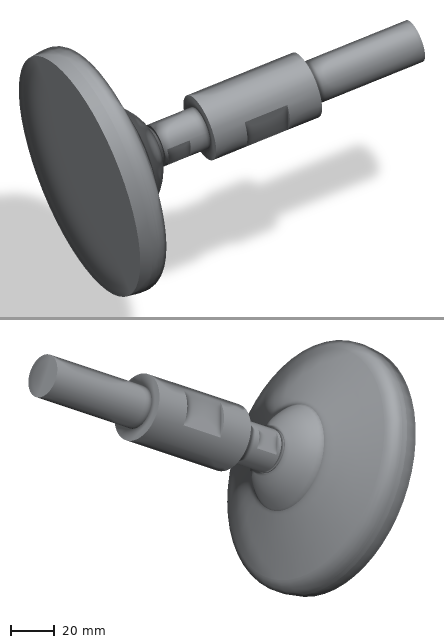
import cadquery as cq
import math

total_length = 174.0

foot_radius = 60.0
sole_radius = 59.2
rim_start = 6.0
rim_end = 8.9
shoulder_radius = 7.1
cone_angle = math.radians(20)
cone_top_radius = 25.4
dome_radius = 30.8
dome_center = 8.7
dome_base_radius = 24.0
foot_top = 37.5

spindle_radius = 10.3
spindle_flat_offset = 8.7
spindle_flat_start = 40.9
spindle_flat_end = 52.5
groove_radius = 8.7
groove_start = 38.1
groove_end = 39.3

sleeve_radius = 16.0
sleeve_start = 62.5
sleeve_end = 117.5
sleeve_flat_offset = 13.4
sleeve_flat_start = 78.6
sleeve_flat_end = 100.7


def cylinder(radius, start, end):
    """Solid cylinder on the Y axis between two heights."""
    return cq.Workplane("XZ", origin=(0, start, 0)).circle(radius).extrude(start - end)


def cut_flats(body, offset, outer_radius, start, end):
    """Cut a pair of opposite wrench flats, square to X."""
    depth = outer_radius - offset
    for side in (-1, 1):
        cutter = cq.Workplane("XY").box(depth, end - start, 2 * outer_radius)
        body = body.cut(cutter.translate((side * (offset + depth / 2), (start + end) / 2, 0)))
    return body


def make_foot():
    """Round foot: tapered rim, rounded shoulder, cone and spherical dome with a flat top."""
    arc_center = foot_radius - shoulder_radius

    def shoulder_point(angle):
        """Point on the shoulder arc, with the angle measured from the axis direction."""
        return (arc_center + shoulder_radius * math.sin(angle),
                rim_end + shoulder_radius * math.cos(angle))

    def dome_point(radius):
        """Point on the dome at a given distance from the axis."""
        return (radius, dome_center + math.sqrt(dome_radius**2 - radius**2))

    cone_base = shoulder_point(cone_angle)
    cone_top = cone_base[1] + (cone_base[0] - cone_top_radius) * math.tan(cone_angle)
    dome_top_radius = math.sqrt(dome_radius**2 - (foot_top - dome_center)**2)

    profile = (
        cq.Workplane("XY")
        .lineTo(sole_radius, 0)
        .lineTo(foot_radius, rim_start)
        .lineTo(foot_radius, rim_end)
        .threePointArc(shoulder_point((cone_angle + math.pi / 2) / 2), cone_base)
        .lineTo(cone_top_radius, cone_top)
        .lineTo(*dome_point(dome_base_radius))
        .threePointArc(dome_point((dome_base_radius + dome_top_radius) / 2), (dome_top_radius, foot_top))
        .lineTo(0, foot_top)
        .close()
    )
    return profile.revolve(360, (0, 0, 0), (0, 1, 0))


def make_spindle():
    """Long round spindle standing on the foot, with a narrow groove near its lower end and two flats."""
    spindle = cylinder(spindle_radius, foot_top, total_length)
    groove = cylinder(spindle_radius, groove_start, groove_end)
    groove = groove.cut(cylinder(groove_radius, groove_start, groove_end))
    spindle = spindle.cut(groove)
    return cut_flats(spindle, spindle_flat_offset, spindle_radius, spindle_flat_start, spindle_flat_end)


def make_sleeve():
    """Sleeve around the spindle, with two wrench flats."""
    sleeve = cylinder(sleeve_radius, sleeve_start, sleeve_end)
    sleeve = sleeve.cut(cylinder(spindle_radius, sleeve_start, sleeve_end))
    return cut_flats(sleeve, sleeve_flat_offset, sleeve_radius, sleeve_flat_start, sleeve_flat_end)


foot = make_foot()
spindle = make_spindle()
sleeve = make_sleeve()

result = cq.Compound.makeCompound([foot.val(), spindle.val(), sleeve.val()])